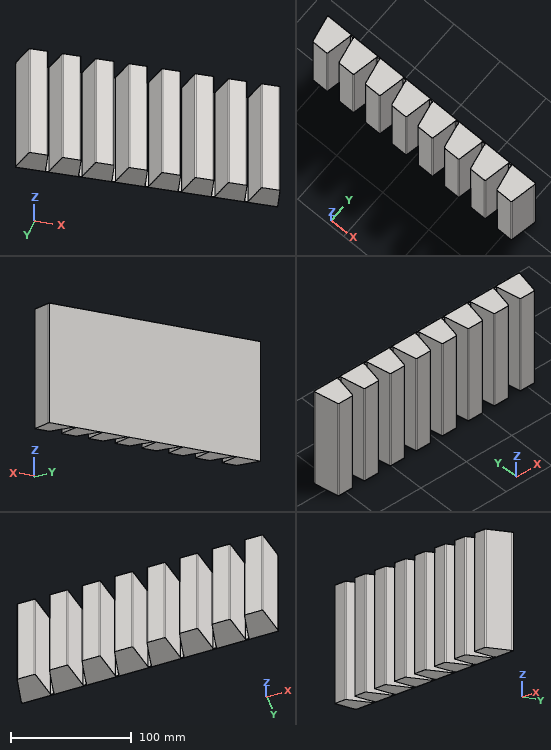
import cadquery as cq

length = 225.5
depth = 25.5
height = 101.7
plate_thickness = 1.1
rib_root_depth = 2.0
rib_count = 8
rib_root_width = 25.5
rib_tip_width = 16.0
tip_radius = 1.1

rib_pitch = (length - rib_root_width) / (rib_count - 1)
first_rib_x = -(length - rib_root_width) / 2
back_y = depth / 2
tip_y = -depth / 2
root_y = back_y - rib_root_depth


def make_plate():
    """Thin back plate joining all the ribs."""
    return (
        cq.Workplane("XY")
        .center(0, back_y - plate_thickness / 2)
        .rect(length, plate_thickness)
        .extrude(height)
    )


def make_rib(center_x):
    """Full-height rib: straight-sided root, then a taper to rounded tip edges."""
    half_root = rib_root_width / 2
    half_tip = rib_tip_width / 2
    outline = [
        (center_x - half_root, back_y),
        (center_x - half_root, root_y),
        (center_x - half_tip, tip_y),
        (center_x + half_tip, tip_y),
        (center_x + half_root, root_y),
        (center_x + half_root, back_y),
    ]
    rib = cq.Workplane("XY").polyline(outline).close().extrude(height)
    return rib.faces("<Y").edges("|Z").fillet(tip_radius)


result = make_plate()
for index in range(rib_count):
    result = result.union(make_rib(first_rib_x + index * rib_pitch))
result = result.clean()